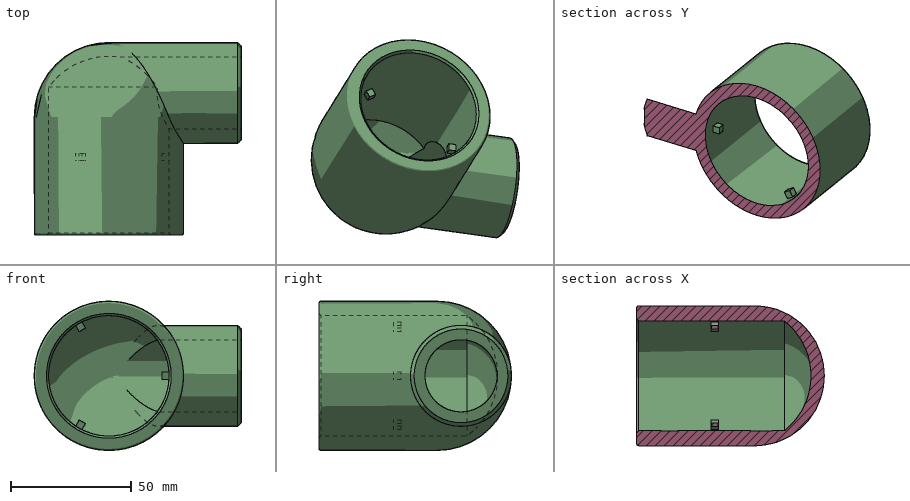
import cadquery as cq


BODY_DIAMETER = 62.0
BODY_RADIUS = BODY_DIAMETER / 2
SOCKET_LENGTH = 49.0
SOCKET_RIM_FILLET = 0.9

SOCKET_BORE_DIAMETER = 50.0
SOCKET_BORE_RADIUS = SOCKET_BORE_DIAMETER / 2
SOCKET_MOUTH_CHAMFER = 0.9

SPIGOT_DIAMETER = 41.91
SPIGOT_BORE_DIAMETER = 29.91
SPIGOT_REACH = 55.0
SPIGOT_CHAMFER = 1.5
SPIGOT_AXIS_Y = 10.0

BORE_CAP_BASE_Y = 12.5
BORE_CAP_POLE_Y = 25.25

TAB_COUNT = 3
TAB_WIDTH = 3.0
TAB_INNER_RADIUS = 22.0
TAB_LENGTH = 3.0
TAB_FRONT_Y = -18.0
TAB_EMBED = 1.0


def domed_body():
    """Cylinder along -Y from the origin, closed by a hemisphere toward +Y."""
    barrel = cq.Workplane("XZ").circle(BODY_RADIUS).extrude(SOCKET_LENGTH)
    barrel = barrel.faces("<Y").edges().fillet(SOCKET_RIM_FILLET)
    return barrel.union(cq.Workplane("XY").sphere(BODY_RADIUS))


def socket_bore():
    """Straight bore with a chamfered mouth and a spherical cap at its inner end."""
    cap_height = BORE_CAP_POLE_Y - BORE_CAP_BASE_Y
    cap_radius = (SOCKET_BORE_RADIUS**2 + cap_height**2) / (2 * cap_height)
    return (
        cq.Workplane("XY")
        .moveTo(0, -SOCKET_LENGTH)
        .lineTo(SOCKET_BORE_RADIUS + SOCKET_MOUTH_CHAMFER, -SOCKET_LENGTH)
        .lineTo(SOCKET_BORE_RADIUS, SOCKET_MOUTH_CHAMFER - SOCKET_LENGTH)
        .lineTo(SOCKET_BORE_RADIUS, BORE_CAP_BASE_Y)
        .radiusArc((0, BORE_CAP_POLE_Y), -cap_radius)
        .close()
        .revolve(360, (0, 0, 0), (0, 1, 0))
    )


def spigot_cylinder(diameter):
    """Cylinder along +X on the spigot axis, starting at the plane of the socket axis."""
    return (
        cq.Workplane("YZ")
        .center(SPIGOT_AXIS_Y, 0)
        .circle(diameter / 2)
        .extrude(SPIGOT_REACH)
    )


def stop_tab(angle):
    """Rectangular stop on the socket wall, turned about the socket axis."""
    radial_depth = SOCKET_BORE_RADIUS + TAB_EMBED - TAB_INNER_RADIUS
    return (
        cq.Workplane("XY")
        .box(radial_depth, TAB_LENGTH, TAB_WIDTH, centered=(False, False, True))
        .translate((TAB_INNER_RADIUS, TAB_FRONT_Y, 0))
        .rotate((0, 0, 0), (0, 1, 0), angle)
    )


spigot = spigot_cylinder(SPIGOT_DIAMETER).faces(">X").chamfer(SPIGOT_CHAMFER)

result = domed_body().union(spigot)
result = result.cut(socket_bore())
result = result.cut(spigot_cylinder(SPIGOT_BORE_DIAMETER))

for index in range(TAB_COUNT):
    result = result.union(stop_tab(index * 360 / TAB_COUNT))